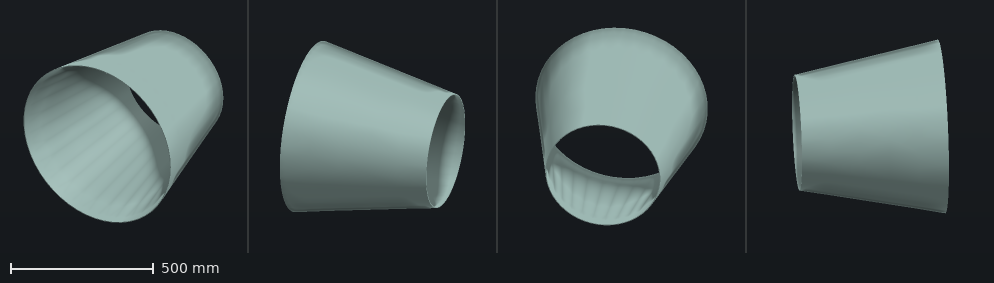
import cadquery as cq

large_diameter = 609.6
small_diameter = 406.4
length = 508.0
wall_thickness = 3.0

large_radius = large_diameter / 2
small_radius = small_diameter / 2


def conical_shell():
    """Revolve the slanted wall section around the Y axis; both ends stay open."""
    wall_section = (
        cq.Workplane("XY")
        .moveTo(large_radius - wall_thickness, 0)
        .lineTo(large_radius, 0)
        .lineTo(small_radius, length)
        .lineTo(small_radius - wall_thickness, length)
        .close()
    )
    return wall_section.revolve(360, (0, 0, 0), (0, 1, 0))


result = conical_shell()